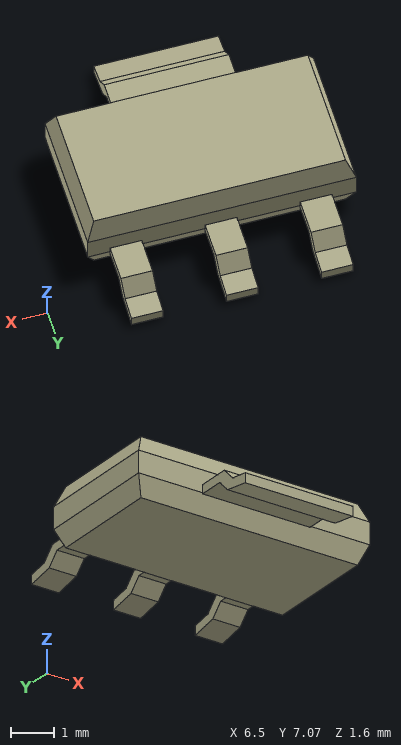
import cadquery as cq

housing_length = 6.5
housing_depth = 3.5
housing_height = 1.6
taper_height = 0.5
taper_inset = 0.205

tip_y = 3.535
root_y = 1.78
shelf_top_z = 0.69
shelf_thickness = 0.24
upper_bend_y = 2.67
lower_bend_y = 2.48
upper_drop = 0.345
lower_drop = 0.325
tip_thickness = 0.26

lead_width = 0.77
lead_pitch = 2.3
lead_count = 3
tab_width = 3.02
terminal_offset_x = 0.035


def make_taper(base_z, height):
    """Frustum that narrows from the housing outline, up or down by the signed height."""
    return (
        cq.Workplane("XY")
        .workplane(offset=base_z)
        .rect(housing_length, housing_depth)
        .workplane(offset=height)
        .rect(housing_length - 2 * taper_inset, housing_depth - 2 * taper_inset)
        .loft(ruled=True)
    )


def make_housing():
    band_height = housing_height - 2 * taper_height
    band = (
        cq.Workplane("XY")
        .box(housing_length, housing_depth, band_height, centered=(True, True, False))
        .translate((0, 0, taper_height))
    )
    lower_taper = make_taper(taper_height, -taper_height)
    upper_taper = make_taper(taper_height + band_height, taper_height)
    return band.union(lower_taper).union(upper_taper)


def make_bent_strip(width, center_x, side):
    """Strip bent down to a sloping foot; side is +1 toward +Y or -1 toward -Y."""
    shelf_bottom_z = shelf_top_z - shelf_thickness
    profile = [
        (root_y, shelf_top_z),
        (upper_bend_y, shelf_top_z),
        (upper_bend_y + upper_drop, shelf_top_z - upper_drop),
        (tip_y, tip_thickness),
        (tip_y, 0),
        (lower_bend_y + lower_drop, shelf_bottom_z - lower_drop),
        (lower_bend_y, shelf_bottom_z),
        (root_y, shelf_bottom_z),
    ]
    return (
        cq.Workplane("YZ")
        .polyline([(side * y, z) for y, z in profile])
        .close()
        .extrude(width / 2, both=True)
        .translate((center_x, 0, 0))
    )


def make_lead(index):
    center_x = terminal_offset_x + (index - (lead_count - 1) / 2) * lead_pitch
    return make_bent_strip(lead_width, center_x, 1)


def make_tab():
    return make_bent_strip(tab_width, terminal_offset_x, -1)


housing = make_housing()
leads = [make_lead(index) for index in range(lead_count)]
tab = make_tab()

bodies = [housing, *leads, tab]

result = cq.Compound.makeCompound([body.solids().val() for body in bodies])